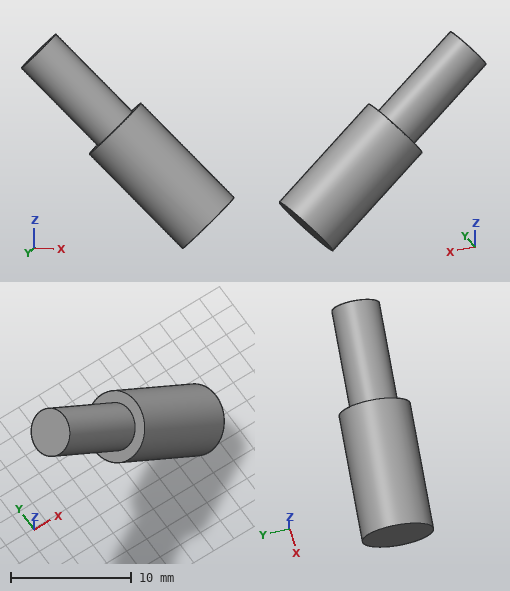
import cadquery as cq
import math

body_diameter = 6.0
body_length = 10.99
pin_diameter = 4.01
pin_length = 9.0
tilt_angle = 43.75

tilt = math.radians(tilt_angle)
axis_direction = (-math.cos(tilt), 0, math.sin(tilt))

base_plane = cq.Plane(origin=(0, 0, 0), xDir=(0, 1, 0), normal=axis_direction)


def make_cylinder(diameter, length, start=0):
    """Cylinder on the part axis, beginning at a distance from the base plane."""
    return cq.Workplane(base_plane).workplane(offset=start).circle(diameter / 2).extrude(length)


body = make_cylinder(body_diameter, body_length)
pin = make_cylinder(pin_diameter, pin_length, start=body_length)

result = body.union(pin)